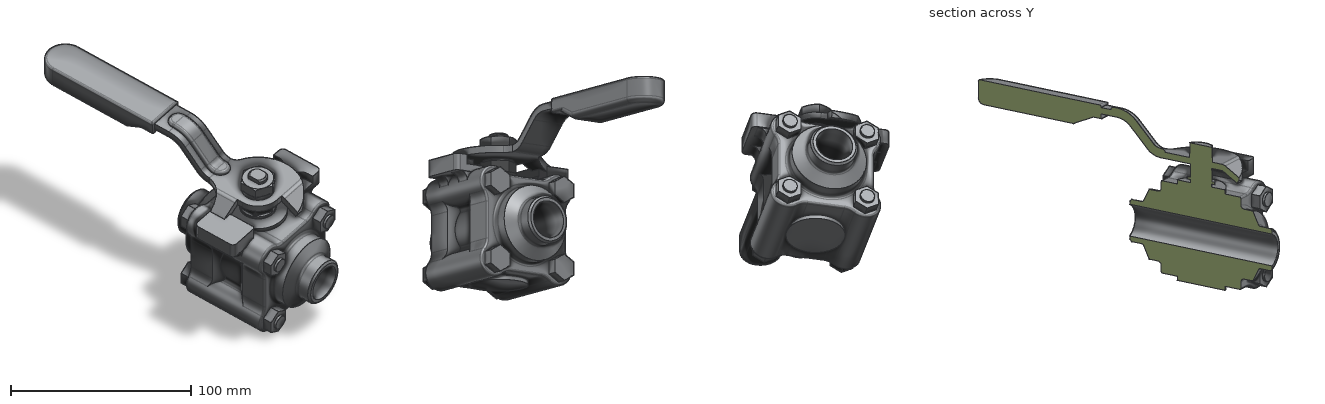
import cadquery as cq
import math


BORE_D = 20.7
PIPE_D = 26.82
PIPE_END_X = 47.0
PIPE_CHAMFER = 1.2
COLLAR_D = 42.45
COLLAR_END_X = 34.3
COLLAR_FILLET = 2.0
CONE_END_X = 38.3
CONE_FILLET = 1.6
BODY_HALF_LENGTH = 26.4
BODY_EDGE_FILLET = 1.1
FLAT_OFFSET = 27.3
LOBE_OFFSET = 22.05
LOBE_R = 9.25
BLEND_R = 9.25
BARREL_R = 24.3
BARREL_FILLET = 2.7
RECESS_HALF_WIDTH = 10.6
BONNET_R = 16.5
BONNET_Z = 29.7

BOLT_D = 8.0
BOLT_HEX_AF = 13.0
BOLT_HEAD_T = 5.5
BOLT_TIP_T = 1.5

PAD_HALF_WIDTH = 13.85
PAD_INNER_Y = 20.2
PAD_OUTER_Y = 39.2
PAD_BOTTOM_Z = 29.0
PAD_TOP_Z = 38.3
PAD_CORNER_R = 2.8
PAD_BEVEL_Z = 33.0
PAD_BEVEL_FOOT_Y = 18.3
PAD_BEVEL_FOOT_Z = 29.5
PAD_STOP_CHAMFER = 5.0
PAD_FREE_CHAMFER = 3.0
NOTCH_OUTER_Y = 31.7
NOTCH_CORNER_R = 6.0
NOTCH_NECK_HALF_WIDTH = 4.0
LEG_INNER_X = 4.8
LEG_OUTER_X = 13.0
LEG_FILLET_R = 4.8

GLAND_D = 17.2
GLAND_FLANGE_D = 20.6
GLAND_FLANGE_Z = 31.2
GLAND_FLANGE_T = 1.7
LOCK_NUT_AF = 17.2
LOCK_NUT_TOP_Z = 39.4
NUT_AF = 17.6
NUT_CHAMFER_HEIGHT = 0.6
NUT_BOTTOM_Z = 47.0
NUT_TOP_Z = 53.1
WASHER_D = 18.0
STEM_D = 10.8
STEM_FLATS = 7.6
STEM_TOP_Z = 55.7
STEM_CHAMFER = 0.9

LEVER_T = 4.0
LEVER_TOP_Z = 44.4
LEVER_RAISED_Z = 62.8
ARM_HALF_WIDTH = 9.75
ARM_END_X = -140.0
UPPER_BEND_X = -55.4
LOWER_BEND_X = -26.6
UPPER_BEND_R = 16.5
BEND_ANGLE = 45.0
HUB_R = 25.5
HUB_SMALL_R = 13.7
TAB_ANGLE = 30.0
TAB_BEND_R = 4.8
TAB_LENGTH = 11.2
STOP_TAB_TIP_Y = -26.3
STOP_TAB_INNER_X = -3.6
STOP_TAB_OUTER_X = -13.7
STOP_TAB_ARC_R = 15.5
END_TAB_EDGE_Y = 3.7
NECK_FILLET_R = 6.0

RIB_HEIGHT = 2.03
RIB_HALF_WIDTH = 5.6
RIB_START_X = -62.0
RIB_END_X = -21.0
RIB_FILLET = 1.9

GRIP_END_X = -147.84
GRIP_MOUTH_X = -65.6
GRIP_HALF_WIDTH = 11.6
GRIP_TOP_Z = 64.15
GRIP_BOTTOM_Z = 49.7
GRIP_MOUTH_BOTTOM_Z = 56.0
GRIP_SLOPE_START_X = -84.0
GRIP_SLOPE_END_X = -71.0
GRIP_TOP_FILLET = 1.2
GRIP_BOTTOM_FILLET = 3.4
GRIP_MOUTH_FILLET = 1.2


def cylinder_x(diameter, x_start, x_end, y=0, z=0):
    plane = cq.Workplane("YZ", origin=(x_start, y, z))
    return plane.circle(diameter / 2).extrude(x_end - x_start)


def cylinder_z(diameter, z_start, z_end):
    return cq.Workplane("XY", origin=(0, 0, z_start)).circle(diameter / 2).extrude(z_end - z_start)


def box_between(x_range, y_range, z_range):
    size = [high - low for low, high in (x_range, y_range, z_range)]
    corner = (x_range[0], y_range[0], z_range[0])
    return cq.Workplane("XY").box(*size, centered=False).translate(corner)


def hex_circumscribed(across_flats):
    return across_flats / math.cos(math.pi / 6)


def body_block():
    """Square block with a round lobe at each corner, blended into the flats by hollow arcs."""
    blend_center = FLAT_OFFSET + BLEND_R
    reach = LOBE_R + BLEND_R
    flat_half = LOBE_OFFSET - math.sqrt(reach**2 - (blend_center - LOBE_OFFSET) ** 2)
    angle = math.asin((LOBE_OFFSET - flat_half) / reach)
    lobe_out = LOBE_OFFSET + LOBE_R * math.cos(angle)
    lobe_in = LOBE_OFFSET - LOBE_R * math.sin(angle)
    lobe_tip = LOBE_OFFSET + LOBE_R * math.sqrt(0.5)
    blend_out = blend_center - BLEND_R * math.cos(angle / 2)
    blend_in = flat_half + BLEND_R * math.sin(angle / 2)

    def turned(point, quarter):
        for _ in range(quarter):
            point = (-point[1], point[0])
        return point

    outline = cq.Workplane("YZ", origin=(-BODY_HALF_LENGTH, 0, 0)).moveTo(FLAT_OFFSET, -flat_half)
    for quarter in range(4):
        outline = (
            outline.lineTo(*turned((FLAT_OFFSET, flat_half), quarter))
            .threePointArc(turned((blend_out, blend_in), quarter), turned((lobe_out, lobe_in), quarter))
            .threePointArc(turned((lobe_tip, lobe_tip), quarter), turned((lobe_in, lobe_out), quarter))
            .threePointArc(turned((blend_in, blend_out), quarter), turned((flat_half, FLAT_OFFSET), quarter))
        )
    block = outline.close().extrude(2 * BODY_HALF_LENGTH)
    return block.faces("<X or >X").fillet(BODY_EDGE_FILLET)


def body_middle():
    """Round barrel joined to the four lobes, with the hollows towards +Y and -Y filleted."""
    ends = (-BODY_HALF_LENGTH, BODY_HALF_LENGTH)
    middle = cylinder_x(2 * BARREL_R, *ends)
    for y in (-LOBE_OFFSET, LOBE_OFFSET):
        for z in (-LOBE_OFFSET, LOBE_OFFSET):
            middle = middle.union(cylinder_x(2 * LOBE_R, *ends, y, z))
    lobe_distance = LOBE_OFFSET * math.sqrt(2)
    cosine = (BARREL_R**2 + lobe_distance**2 - LOBE_R**2) / (2 * BARREL_R * lobe_distance)
    angle = math.pi / 4 - math.acos(cosine)
    meet_y = BARREL_R * math.cos(angle)
    meet_z = BARREL_R * math.sin(angle)
    for y in (-meet_y, meet_y):
        for z in (-meet_z, meet_z):
            middle = middle.edges(cq.selectors.NearestToPointSelector((0, y, z))).fillet(BARREL_FILLET)
    return middle


def side_recesses():
    """Space on the +Y and -Y sides between the end pieces, around the barrel and lobes."""
    outer_y = FLAT_OFFSET + LOBE_R
    outer_half_width = RECESS_HALF_WIDTH + LOBE_R
    point_y = FLAT_OFFSET - RECESS_HALF_WIDTH
    wedge = (
        cq.Workplane("XY", origin=(0, 0, -LOBE_OFFSET))
        .polyline([(0, point_y), (outer_half_width, outer_y), (-outer_half_width, outer_y)])
        .close()
        .extrude(2 * LOBE_OFFSET)
    )
    wedges = wedge.union(wedge.mirror("XZ"))
    return wedges.cut(body_middle())


def weld_end():
    """Collar, cone and pipe stub on the +X side."""
    pipe_r = PIPE_D / 2
    collar_r = COLLAR_D / 2
    fillet_mid = COLLAR_FILLET * (1 - math.sqrt(0.5))
    end_piece = (
        cq.Workplane("XY")
        .moveTo(0, 0)
        .lineTo(0, collar_r + COLLAR_FILLET)
        .lineTo(BODY_HALF_LENGTH, collar_r + COLLAR_FILLET)
        .threePointArc(
            (BODY_HALF_LENGTH + fillet_mid, collar_r + fillet_mid),
            (BODY_HALF_LENGTH + COLLAR_FILLET, collar_r),
        )
        .lineTo(COLLAR_END_X, collar_r)
        .lineTo(CONE_END_X, pipe_r)
        .lineTo(PIPE_END_X - PIPE_CHAMFER, pipe_r)
        .lineTo(PIPE_END_X, pipe_r - PIPE_CHAMFER)
        .lineTo(PIPE_END_X, 0)
        .close()
        .revolve(360, (0, 0, 0), (1, 0, 0))
    )
    cone_foot = cq.selectors.BoxSelector(
        (CONE_END_X - CONE_FILLET, -PIPE_D, -PIPE_D), (CONE_END_X + CONE_FILLET, PIPE_D, PIPE_D)
    )
    return end_piece.edges("%CIRCLE").edges(cone_foot).fillet(CONE_FILLET)


def bolt(y, z):
    """Hex head on -X, hex nut and bolt tip on +X, corners pointing up and down."""
    head_x = BODY_HALF_LENGTH + BOLT_HEAD_T
    whole_bolt = cylinder_x(BOLT_D, -head_x, head_x + BOLT_TIP_T, y, z)
    for x in (-head_x, BODY_HALF_LENGTH):
        hexagon = (
            cq.Workplane("YZ", origin=(x, y, z))
            .transformed(rotate=(0, 0, 90))
            .polygon(6, hex_circumscribed(BOLT_HEX_AF))
            .extrude(BOLT_HEAD_T)
        )
        whole_bolt = whole_bolt.union(hexagon)
    return whole_bolt


def pad_blank():
    """Stop pad on the +Y side with its inner bevel and two filleted legs."""
    pad = (
        cq.Workplane("YZ", origin=(-PAD_HALF_WIDTH, 0, 0))
        .polyline(
            [
                (PAD_BEVEL_FOOT_Y, PAD_BOTTOM_Z),
                (PAD_OUTER_Y, PAD_BOTTOM_Z),
                (PAD_OUTER_Y, PAD_TOP_Z),
                (PAD_INNER_Y, PAD_TOP_Z),
                (PAD_INNER_Y, PAD_BEVEL_Z),
                (PAD_BEVEL_FOOT_Y, PAD_BEVEL_FOOT_Z),
            ]
        )
        .close()
        .extrude(2 * PAD_HALF_WIDTH)
    )
    pad = pad.edges("|Z and >Y").fillet(PAD_CORNER_R)
    leg_foot_z = PAD_BOTTOM_Z - LEG_FILLET_R
    leg_foot_y = LOBE_OFFSET + math.sqrt(LOBE_R**2 - (leg_foot_z - LOBE_OFFSET) ** 2)
    fillet_y = leg_foot_y + LEG_FILLET_R
    leg = box_between((LEG_INNER_X, LEG_OUTER_X), (LOBE_OFFSET, fillet_y), (leg_foot_z, PAD_BOTTOM_Z))
    leg = leg.cut(cylinder_x(2 * LEG_FILLET_R, 0, PAD_HALF_WIDTH, fillet_y, leg_foot_z))
    return pad.union(leg).union(leg.mirror("YZ"))


def notched_pad():
    """+Y pad: both inner corners are lowered, leaving a rounded neck."""
    notch = box_between(
        (NOTCH_NECK_HALF_WIDTH, PAD_HALF_WIDTH),
        (PAD_BEVEL_FOOT_Y, NOTCH_OUTER_Y),
        (PAD_BEVEL_Z, PAD_TOP_Z),
    )
    notch = notch.edges("|Z and <X and >Y").fillet(NOTCH_CORNER_R)
    return pad_blank().cut(notch).cut(notch.mirror("YZ"))


def chamfered_pad():
    """-Y pad: both inner corners are cut off at 45 degrees above the foot of the bevel."""
    pad = pad_blank().mirror("XZ")
    for x, chamfer in ((-PAD_HALF_WIDTH, PAD_STOP_CHAMFER), (PAD_HALF_WIDTH, PAD_FREE_CHAMFER)):
        corner = (
            cq.Workplane("XY", origin=(0, 0, PAD_BEVEL_FOOT_Z))
            .polyline(
                [
                    (x, -PAD_BEVEL_FOOT_Y),
                    (x - math.copysign(chamfer, x), -PAD_BEVEL_FOOT_Y),
                    (x, -PAD_BEVEL_FOOT_Y - chamfer),
                ]
            )
            .close()
            .extrude(PAD_TOP_Z - PAD_BEVEL_FOOT_Z)
        )
        pad = pad.cut(corner)
    return pad


def hex_prism(across_flats, z_start, z_end):
    """Hexagon standing on Z with two corners on the X axis."""
    plane = cq.Workplane("XY", origin=(0, 0, z_start))
    return plane.polygon(6, hex_circumscribed(across_flats)).extrude(z_end - z_start)


def lever_nut():
    """Hex nut with its upper corners turned down to the width of the flats."""
    corner_d = hex_circumscribed(NUT_AF)
    turned_off = (corner_d - NUT_AF) / 2
    envelope = cylinder_z(corner_d, NUT_BOTTOM_Z, NUT_TOP_Z)
    envelope = envelope.faces(">Z").edges().chamfer(NUT_CHAMFER_HEIGHT, turned_off)
    return hex_prism(NUT_AF, NUT_BOTTOM_Z, NUT_TOP_Z).intersect(envelope)


def stem_stack():
    """Gland, lock nut, washer, lever nut and the flatted stem end, stacked along Z."""
    stem = cylinder_z(STEM_D, BONNET_Z, STEM_TOP_Z).faces(">Z").chamfer(STEM_CHAMFER)
    flats = box_between((-STEM_D, STEM_D), (-STEM_FLATS / 2, STEM_FLATS / 2), (NUT_TOP_Z, STEM_TOP_Z))
    stem = stem.intersect(flats.union(cylinder_z(STEM_D, BONNET_Z, NUT_TOP_Z)))
    flange_top = GLAND_FLANGE_Z + GLAND_FLANGE_T
    return (
        stem.union(cylinder_z(GLAND_D, BONNET_Z, GLAND_FLANGE_Z))
        .union(cylinder_z(GLAND_FLANGE_D, GLAND_FLANGE_Z, flange_top))
        .union(hex_prism(LOCK_NUT_AF, flange_top, LOCK_NUT_TOP_Z))
        .union(cylinder_z(GLAND_D, LOCK_NUT_TOP_Z, LEVER_TOP_Z - LEVER_T))
        .union(cylinder_z(WASHER_D, LEVER_TOP_Z, NUT_BOTTOM_Z))
        .union(lever_nut())
    )


def arm_strip(bottom, top, x_start, x_end, half_width):
    """Strip following the lever's double bend, between two offsets from its upper face."""
    bend = math.radians(BEND_ANGLE)
    half = bend / 2
    drop = LEVER_RAISED_Z - LEVER_TOP_Z
    run = LOWER_BEND_X - UPPER_BEND_X
    radius_sum = (run * math.tan(bend) - drop) / math.tan(half) / math.tan(bend)
    lower_bend_r = radius_sum - UPPER_BEND_R
    upper_z = LEVER_RAISED_Z - UPPER_BEND_R
    lower_z = LEVER_TOP_Z + lower_bend_r

    def upper(offset, angle):
        r = UPPER_BEND_R + offset
        return (UPPER_BEND_X + r * math.sin(angle), upper_z + r * math.cos(angle))

    def lower(offset, angle):
        r = lower_bend_r - offset
        return (LOWER_BEND_X - r * math.sin(angle), lower_z - r * math.cos(angle))

    return (
        cq.Workplane("XZ", origin=(0, half_width, 0))
        .moveTo(x_start, LEVER_RAISED_Z + top)
        .lineTo(*upper(top, 0))
        .threePointArc(upper(top, half), upper(top, bend))
        .lineTo(*lower(top, bend))
        .threePointArc(lower(top, half), lower(top, 0))
        .lineTo(x_end, LEVER_TOP_Z + top)
        .lineTo(x_end, LEVER_TOP_Z + bottom)
        .lineTo(*lower(bottom, 0))
        .threePointArc(lower(bottom, half), lower(bottom, bend))
        .lineTo(*upper(bottom, bend))
        .threePointArc(upper(bottom, half), upper(bottom, 0))
        .lineTo(x_start, LEVER_RAISED_Z + bottom)
        .close()
        .extrude(2 * half_width)
    )


def hub_outline():
    """Plan of the hub, arm root and both tabs as a tall prism."""
    depth = 2 * LEVER_T + TAB_LENGTH
    root_x = -2 * HUB_R
    diagonal = math.sqrt(0.5)
    neck_x = -math.sqrt(HUB_R**2 - ARM_HALF_WIDTH**2)
    edge_x = math.sqrt(HUB_R**2 - END_TAB_EDGE_Y**2)
    arc_x = STOP_TAB_OUTER_X - STOP_TAB_ARC_R
    arc_y = -ARM_HALF_WIDTH - STOP_TAB_ARC_R
    outline = (
        cq.Workplane("XY", origin=(0, 0, LEVER_TOP_Z - depth))
        .moveTo(root_x, ARM_HALF_WIDTH)
        .lineTo(neck_x, ARM_HALF_WIDTH)
        .threePointArc((0, HUB_R), (edge_x, END_TAB_EDGE_Y))
        .lineTo(HUB_SMALL_R, END_TAB_EDGE_Y)
        .lineTo(HUB_SMALL_R, 0)
        .threePointArc((HUB_SMALL_R * diagonal, -HUB_SMALL_R * diagonal), (0, -HUB_SMALL_R))
        .lineTo(STOP_TAB_INNER_X, -HUB_SMALL_R)
        .lineTo(STOP_TAB_INNER_X, STOP_TAB_TIP_Y)
        .lineTo(STOP_TAB_OUTER_X, STOP_TAB_TIP_Y)
        .lineTo(STOP_TAB_OUTER_X, arc_y)
        .threePointArc(
            (arc_x + STOP_TAB_ARC_R * diagonal, arc_y + STOP_TAB_ARC_R * diagonal),
            (arc_x, -ARM_HALF_WIDTH),
        )
        .lineTo(root_x, -ARM_HALF_WIDTH)
        .close()
        .extrude(depth)
    )
    neck = cq.selectors.NearestToPointSelector((neck_x, ARM_HALF_WIDTH, LEVER_TOP_Z - depth / 2))
    return outline.edges(neck).fillet(NECK_FILLET_R)


def bent_plate(plane, width):
    """Flat plate whose far end is bent down; runs along the plane's first axis from the stem."""
    slope = math.radians(TAB_ANGLE)
    inner_r = TAB_BEND_R - LEVER_T
    bend_z = LEVER_TOP_Z - TAB_BEND_R

    def bend_point(radius, angle):
        return (HUB_SMALL_R + radius * math.sin(angle), bend_z + radius * math.cos(angle))

    def tab_tip(radius):
        x, z = bend_point(radius, slope)
        return (x + TAB_LENGTH * math.cos(slope), z - TAB_LENGTH * math.sin(slope))

    return (
        cq.Workplane(plane)
        .moveTo(LOWER_BEND_X, LEVER_TOP_Z)
        .lineTo(HUB_SMALL_R, LEVER_TOP_Z)
        .threePointArc(bend_point(TAB_BEND_R, slope / 2), bend_point(TAB_BEND_R, slope))
        .lineTo(*tab_tip(TAB_BEND_R))
        .lineTo(*tab_tip(inner_r))
        .lineTo(*bend_point(inner_r, slope))
        .threePointArc(bend_point(inner_r, slope / 2), bend_point(inner_r, 0))
        .lineTo(LOWER_BEND_X, LEVER_TOP_Z - LEVER_T)
        .close()
        .extrude(width, both=True)
    )


def lever_hub():
    """Hub plate with the end tab on +X and the stop tab on -Y, both bent down."""
    plan_limit = 2 * HUB_R
    hub_z = (0, LEVER_TOP_Z)
    hub = bent_plate("XZ", HUB_R)
    hub = hub.intersect(box_between((-plan_limit, plan_limit), (-HUB_SMALL_R, plan_limit), hub_z))
    stop = bent_plate("YZ", HUB_R).mirror("XZ")
    stop = stop.intersect(box_between((-plan_limit, STOP_TAB_INNER_X), (-plan_limit, 0), hub_z))
    return hub.union(stop).intersect(hub_outline())


def lever_rib():
    """Raised rib with round ends that follows the bends of the arm."""
    length = RIB_END_X - RIB_START_X
    middle_x = (RIB_START_X + RIB_END_X) / 2
    plan = cq.Workplane("XY", origin=(middle_x, 0, 0)).slot2D(length, 2 * RIB_HALF_WIDTH)
    rib = arm_strip(-LEVER_T / 2, RIB_HEIGHT, RIB_START_X, RIB_END_X, RIB_HALF_WIDTH)
    rib = rib.intersect(plan.extrude(LEVER_RAISED_Z + LEVER_T))
    return rib.faces(">Z").edges("not |Y").fillet(RIB_FILLET)


def grip_block(side_outline):
    """Side outline carried across the grip's width and rounded at the far end."""
    center_x = GRIP_END_X + GRIP_HALF_WIDTH
    side = (
        cq.Workplane("XZ", origin=(0, GRIP_HALF_WIDTH, 0))
        .polyline(side_outline)
        .close()
        .extrude(2 * GRIP_HALF_WIDTH)
    )
    plan = (
        cq.Workplane("XY")
        .moveTo(center_x, GRIP_HALF_WIDTH)
        .threePointArc((GRIP_END_X, 0), (center_x, -GRIP_HALF_WIDTH))
        .lineTo(GRIP_MOUTH_X, -GRIP_HALF_WIDTH)
        .lineTo(GRIP_MOUTH_X, GRIP_HALF_WIDTH)
        .close()
        .extrude(GRIP_TOP_Z)
    )
    return side.intersect(plan)


def grip():
    """Sleeve with a round end, cut away underneath towards its mouth."""
    slope = (GRIP_MOUTH_BOTTOM_Z - GRIP_BOTTOM_Z) / (GRIP_SLOPE_END_X - GRIP_SLOPE_START_X)
    slope_at_mouth = GRIP_BOTTOM_Z + slope * (GRIP_MOUTH_X - GRIP_SLOPE_START_X)
    deep = grip_block(
        [
            (GRIP_END_X, GRIP_TOP_Z),
            (GRIP_MOUTH_X, GRIP_TOP_Z),
            (GRIP_MOUTH_X, slope_at_mouth),
            (GRIP_SLOPE_START_X, GRIP_BOTTOM_Z),
            (GRIP_END_X, GRIP_BOTTOM_Z),
        ]
    )
    deep = deep.faces("not(|Y or >X or <X or >Z)").edges("not(|Y or |Z or >Z)").fillet(GRIP_BOTTOM_FILLET)
    shallow = grip_block(
        [
            (GRIP_SLOPE_START_X, GRIP_TOP_Z),
            (GRIP_MOUTH_X, GRIP_TOP_Z),
            (GRIP_MOUTH_X, GRIP_MOUTH_BOTTOM_Z),
            (GRIP_SLOPE_START_X, GRIP_MOUTH_BOTTOM_Z),
        ]
    )
    shallow = shallow.faces("<Z").edges("|X").fillet(GRIP_MOUTH_FILLET)
    sleeve = deep.union(shallow)
    return sleeve.faces(">Z").edges().fillet(GRIP_TOP_FILLET)


body = body_block().cut(side_recesses())
body = body.union(cylinder_z(2 * BONNET_R, -BONNET_Z, BONNET_Z))
body = body.union(weld_end()).union(weld_end().mirror("YZ"))
body = body.union(notched_pad()).union(chamfered_pad())
for bolt_y in (-LOBE_OFFSET, LOBE_OFFSET):
    for bolt_z in (-LOBE_OFFSET, LOBE_OFFSET):
        body = body.union(bolt(bolt_y, bolt_z))
body = body.cut(cylinder_x(BORE_D, -PIPE_END_X, PIPE_END_X))

lever = arm_strip(-LEVER_T, 0, ARM_END_X, -HUB_R, ARM_HALF_WIDTH)
lever = lever.union(lever_hub()).union(lever_rib()).union(grip())

result = body.union(stem_stack()).union(lever)